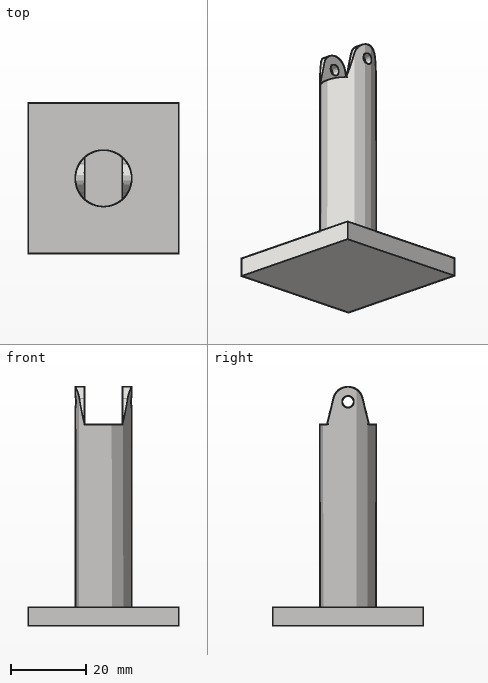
import cadquery as cq
import math

base_side = 40.0
base_thickness = 5.0
overall_height = 63.52
column_radius = 7.5
fork_gap = 10.0
fork_depth = 10.0
ear_radius = 4.0
pin_diameter = 3.0

fork_floor_z = overall_height - fork_depth
pin_z = overall_height - ear_radius
ear_root_half_width = math.sqrt(column_radius**2 - (fork_gap / 2)**2)


def make_base():
    """Square plate centred under the column."""
    return cq.Workplane("XY").rect(base_side, base_side).extrude(base_thickness)


def make_column():
    """Round column from the base underside to the tips of the ears."""
    return cq.Workplane("XY").circle(column_radius).extrude(overall_height)


def make_ear_profile():
    """Bar along X with the ear outline: a round tip and sides tangent to it."""
    root_drop = pin_z - fork_floor_z
    root_distance = math.hypot(ear_root_half_width, root_drop)
    root_angle = math.atan2(-root_drop, ear_root_half_width)
    tangent_angle = root_angle + math.acos(ear_radius / root_distance)
    tangent_y = ear_radius * math.cos(tangent_angle)
    tangent_z = pin_z + ear_radius * math.sin(tangent_angle)
    return (
        cq.Workplane("YZ")
        .moveTo(-ear_root_half_width, fork_floor_z)
        .lineTo(ear_root_half_width, fork_floor_z)
        .lineTo(tangent_y, tangent_z)
        .threePointArc((0, overall_height), (-tangent_y, tangent_z))
        .close()
        .extrude(column_radius, both=True)
    )


def make_fork_waste():
    """Material removed above the fork floor: everything except the two ears."""
    diameter = 2 * column_radius
    floor_plane = cq.Workplane("XY").workplane(offset=fork_floor_z)
    head = floor_plane.rect(diameter, diameter).extrude(fork_depth)
    gap = floor_plane.rect(fork_gap, diameter).extrude(fork_depth)
    return head.cut(make_ear_profile()).union(gap)


def make_pin_hole():
    """Pin hole along X through both ears, concentric with their round tips."""
    return (
        cq.Workplane("YZ")
        .center(0, pin_z)
        .circle(pin_diameter / 2)
        .extrude(column_radius, both=True)
    )


forked_column = make_column().cut(make_fork_waste()).cut(make_pin_hole())
result = make_base().union(forked_column)